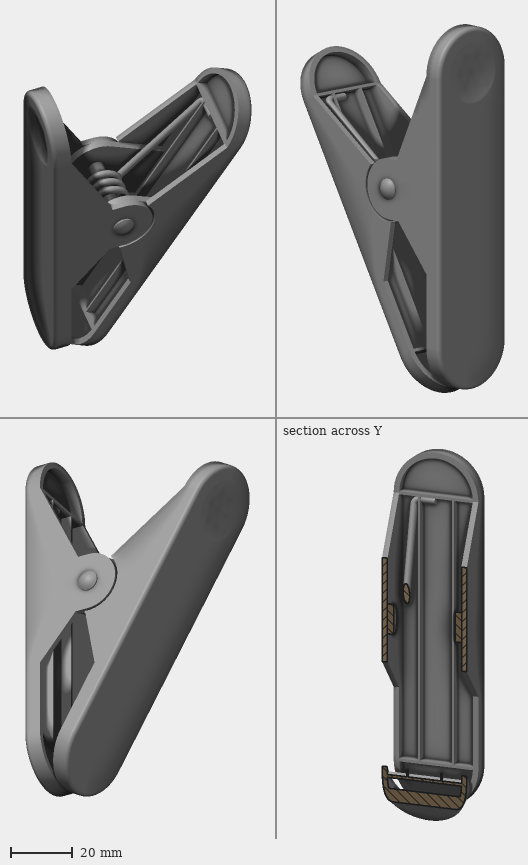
import cadquery as cq
import math


jaw_length = 119.9
jaw_width = 30.0
jaw_depth = 6.0
wall = 2.0
edge_round = 1.5
cavity_depth = 3.7
pivot_to_top = 55.0
pivot_to_face = 23.9
jaw_tilt = 30.6

end_radius = jaw_width / 2
inner_width = jaw_width - 2 * wall
face_y = -pivot_to_face
rim_y = face_y + jaw_depth
floor_y = rim_y - cavity_depth
jaw_centre_z = pivot_to_top - jaw_length / 2
upper_end_z = pivot_to_top - end_radius
lower_end_z = pivot_to_top - jaw_length + end_radius

long_rib_thickness = 0.6
long_rib_offset = 6.0
cross_rib_thickness = 1.0

dimple_diameter = 20.0
dimple_depth = 1.2

ear_radius = 10.0
upper_shoulder = 3.7
lower_shoulder = 4.7
lower_slope_end = 25.5
ear_clearance_radius = 10.9
inner_ear_thickness = 2.3

pin_diameter = 5.0
head_diameter = 7.0
head_rim = 0.5
overall_width = 34.0

wire_diameter = 2.5
coil_diameter = 9.7
coil_pitch = 3.4
full_turn_count = 4
leg_end_x = 8.3
leg_end_depth = 19.6
leg_end_z = 38.2
hook_length = 7.6
bend_length = 2.0

coil_radius = coil_diameter / 2


def to_rear(shape):
    """Carry a shape from the front jaw's place to the rear jaw's place."""
    turned = shape.rotate(cq.Vector(0, 0, 0), cq.Vector(0, 0, 1), 180)
    return turned.rotate(cq.Vector(0, 0, 0), cq.Vector(1, 0, 0), -jaw_tilt)


def x_cylinder(diameter, length):
    """A cylinder on the pivot axis, centred at the origin."""
    return cq.Workplane("YZ").circle(diameter / 2).extrude(length / 2, both=True)


def slot_slab(width, inset, start_y, depth):
    """A round-ended slab, inset from the jaw outline and growing toward +Y."""
    return (
        cq.Workplane("XZ", origin=(0, start_y, jaw_centre_z))
        .slot2D(jaw_length - 2 * inset, width, 90)
        .extrude(-depth)
    )


def both_sides(plate):
    """The plate together with its mirror image across the middle of the jaw."""
    return plate.union(plate.mirror("YZ"))


def shell():
    """A round-ended slab with a rounded outer edge, hollowed from the inside."""
    body = slot_slab(jaw_width, 0, face_y, jaw_depth).faces("<Y").edges().fillet(edge_round)
    return body.cut(slot_slab(inner_width, wall, floor_y, cavity_depth))


def ribs():
    """Two lengthwise ribs between two cross ribs, all level with the rim."""
    rib_y = floor_y + cavity_depth / 2
    rib_span = upper_end_z - lower_end_z
    span_centre = (upper_end_z + lower_end_z) / 2
    long_ribs = (
        cq.Workplane("XY", origin=(0, rib_y, span_centre))
        .pushPoints([(-long_rib_offset, 0), (long_rib_offset, 0)])
        .box(long_rib_thickness, cavity_depth, rib_span)
    )
    cross_ribs = (
        cq.Workplane("XZ", origin=(0, rib_y, 0))
        .pushPoints([(0, upper_end_z), (0, lower_end_z)])
        .box(inner_width, cross_rib_thickness, cavity_depth)
    )
    return long_ribs.union(cross_ribs)


def side_walls():
    """Outer walls that rise from the rim to the round pivot ears."""
    plate = (
        cq.Workplane("YZ", origin=(inner_width / 2, 0, 0))
        .moveTo(rim_y, upper_end_z)
        .lineTo(-upper_shoulder, ear_radius)
        .lineTo(0, ear_radius)
        .threePointArc((ear_radius, 0), (0, -ear_radius))
        .lineTo(-lower_shoulder, -ear_radius)
        .lineTo(rim_y, -lower_slope_end)
        .close()
        .extrude(wall)
    )
    return both_sides(plate)


def inner_ears():
    """Straight-sided ears that stand on the floor just inside the side walls."""
    plate = (
        cq.Workplane("YZ", origin=(inner_width / 2 - inner_ear_thickness, 0, 0))
        .moveTo(floor_y, ear_radius)
        .lineTo(0, ear_radius)
        .threePointArc((ear_radius, 0), (0, -ear_radius))
        .lineTo(floor_y, -ear_radius)
        .close()
        .extrude(inner_ear_thickness)
    )
    return both_sides(plate)


def cut_dimple(body):
    """Sink a shallow ball-shaped finger dimple with a rounded edge into the outer face."""
    ball_radius = ((dimple_diameter / 2) ** 2 + dimple_depth**2) / (2 * dimple_depth)
    ball_y = face_y + dimple_depth - ball_radius
    ball = cq.Workplane("XY", origin=(0, ball_y, upper_end_z)).sphere(ball_radius)
    face_arcs = body.cut(ball).faces("<Y").edges("%CIRCLE")
    return face_arcs.edges(cq.selectors.RadiusNthSelector(0)).fillet(edge_round)


def hook_hole():
    """The hole through one lengthwise rib that takes the spring's hook."""
    return (
        cq.Workplane("YZ", origin=(long_rib_offset, 0, 0))
        .center(-leg_end_depth, leg_end_z)
        .circle(wire_diameter / 2)
        .extrude(long_rib_thickness, both=True)
    )


def jaw_base():
    """What both jaws share: the shell with its ribs, dimple and hook hole."""
    return cut_dimple(shell()).union(ribs()).cut(hook_hole())


def front_jaw():
    """The upright jaw, whose ears lie outside those of the rear jaw."""
    return jaw_base().union(side_walls()).cut(x_cylinder(pin_diameter, jaw_width))


def rear_jaw():
    """The tilted jaw: side walls cut clear of the front ears, and its own ears inside them."""
    clearance = x_cylinder(2 * ear_clearance_radius, jaw_width)
    walls = side_walls().cut(clearance)
    jaw = jaw_base().union(walls).union(inner_ears())
    return to_rear(jaw.cut(x_cylinder(pin_diameter, jaw_width)).val())


def pivot_pin():
    """A round pin with a domed head outside each ear."""
    ear_face = jaw_width / 2
    dome_start = ear_face + head_rim
    pin_end = overall_width / 2
    head_radius = head_diameter / 2
    dome_height = pin_end - dome_start
    dome_radius = (head_radius**2 + dome_height**2) / (2 * dome_height)
    half_dome_angle = math.asin(head_radius / dome_radius) / 2
    dome_middle = (
        pin_end - dome_radius * (1 - math.cos(half_dome_angle)),
        dome_radius * math.sin(half_dome_angle),
    )
    half_pin = (
        cq.Workplane("XY")
        .lineTo(0, pin_diameter / 2)
        .lineTo(ear_face, pin_diameter / 2)
        .lineTo(ear_face, head_radius)
        .lineTo(dome_start, head_radius)
        .threePointArc(dome_middle, (pin_end, 0))
        .close()
        .revolve(360, (0, 0, 0), (1, 0, 0))
    )
    return both_sides(half_pin)


def wire_along(path, **sweep_options):
    """Round wire swept along a path."""
    start_plane = cq.Plane(path.positionAt(0), (1, 0, 0), path.tangentAt(0))
    profile = cq.Workplane(start_plane).circle(wire_diameter / 2)
    return profile.sweep(cq.Workplane(path), **sweep_options).val()


def spring():
    """One wire: a coil round the pin and a hooked leg into each jaw."""
    leg_reach = math.hypot(leg_end_depth, leg_end_z)
    touch_angle = math.atan2(leg_end_depth, leg_end_z) + math.acos(coil_radius / leg_reach)
    front_degrees = 90 + math.degrees(touch_angle)
    rear_degrees = 180 - front_degrees - jaw_tilt
    turns = full_turn_count - (front_degrees - rear_degrees) / 360
    half_coil_length = turns * coil_pitch / 2

    helix = cq.Wire.makeHelix(coil_pitch, half_coil_length, coil_radius, lefthand=True)
    helix = helix.rotate(cq.Vector(0, 0, 0), cq.Vector(1, 1, 1), 120)
    helix = helix.rotate(cq.Vector(0, 0, 0), cq.Vector(1, 0, 0), rear_degrees)
    helix = helix.translate(cq.Vector(-half_coil_length, 0, 0))
    half_coil = wire_along(helix, isFrenet=True)

    leg_start = cq.Vector(
        half_coil_length,
        -coil_radius * math.sin(touch_angle),
        coil_radius * math.cos(touch_angle),
    )
    corner = cq.Vector(leg_end_x, -leg_end_depth, leg_end_z)
    leg_direction = (corner - leg_start).normalized()
    hook_direction = cq.Vector(-1, 0, 0)
    bend_start = corner - leg_direction * bend_length
    bend_end = corner + hook_direction * bend_length
    hook_tip = corner + hook_direction * hook_length
    leg = wire_along(cq.Wire.assembleEdges([
        cq.Edge.makeLine(leg_start, bend_start),
        cq.Edge.makeTangentArc(bend_start, leg_direction, bend_end),
        cq.Edge.makeLine(bend_end, hook_tip),
    ]))

    rear_half = half_coil.fuse(to_rear(leg))
    return rear_half.fuse(to_rear(rear_half))


result = cq.Compound.makeCompound([
    front_jaw().val(),
    rear_jaw(),
    pivot_pin().val(),
    spring(),
])